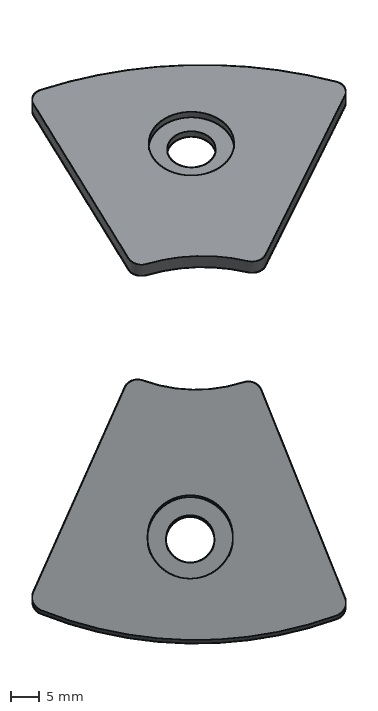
import cadquery as cq
import math

outer_radius = 71.65
inner_radius = 26.6
sector_angle = math.radians(45)
edge_margin = 1.0
thickness = 3.0
corner_radius = 2.5
hole_distance = 53.1
hole_diameter = 8.5
counterbore_diameter = 15.0
counterbore_depth = thickness / 2


def arc_point(radius, angle):
    """Point on an arc, with the angle measured clockwise from -X."""
    return (-radius * math.cos(angle), radius * math.sin(angle))


def sector_plate():
    """Ring sector with parallel-offset straight edges and rounded corners."""
    middle = sector_angle / 2
    outer_overhang = math.asin(edge_margin / outer_radius)
    inner_overhang = math.asin(edge_margin / inner_radius)
    return (
        cq.Workplane("XY")
        .moveTo(*arc_point(inner_radius, -inner_overhang))
        .lineTo(*arc_point(outer_radius, -outer_overhang))
        .threePointArc(
            arc_point(outer_radius, middle),
            arc_point(outer_radius, sector_angle + outer_overhang),
        )
        .lineTo(*arc_point(inner_radius, sector_angle + inner_overhang))
        .threePointArc(
            arc_point(inner_radius, middle),
            arc_point(inner_radius, -inner_overhang),
        )
        .close()
        .extrude(thickness)
        .edges("|Z")
        .fillet(corner_radius)
    )


hole_centre = arc_point(hole_distance, sector_angle / 2)
result = (
    sector_plate()
    .faces(">Z")
    .workplane(origin=(0, 0, thickness))
    .pushPoints([hole_centre])
    .cboreHole(hole_diameter, counterbore_diameter, counterbore_depth)
)